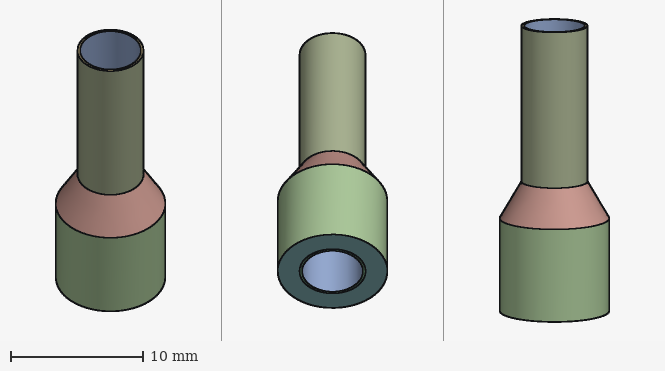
import cadquery as cq

total_height = 22.0
tube_outer_diameter = 5.0
tube_wall = 0.2
exposed_tube_length = 12.01
collar_diameter = 8.3
collar_height = 7.15

tube_outer_radius = tube_outer_diameter / 2
tube_inner_radius = tube_outer_radius - tube_wall
collar_radius = collar_diameter / 2
sleeve_height = total_height - exposed_tube_length


def make_tube():
    """Thin-walled tube, open at both ends, running the full height."""
    return (
        cq.Workplane("XY")
        .circle(tube_outer_radius)
        .circle(tube_inner_radius)
        .extrude(total_height)
    )


def make_sleeve():
    """Collar that tapers at the top to the tube, bored to fit around it."""
    half_section = (
        cq.Workplane("XZ")
        .moveTo(tube_outer_radius, 0)
        .lineTo(collar_radius, 0)
        .lineTo(collar_radius, collar_height)
        .lineTo(tube_outer_radius, sleeve_height)
        .close()
    )
    return half_section.revolve(360, (0, 0, 0), (0, 1, 0))


tube = make_tube()
sleeve = make_sleeve()

result = cq.Compound.makeCompound([tube.val(), sleeve.val()])